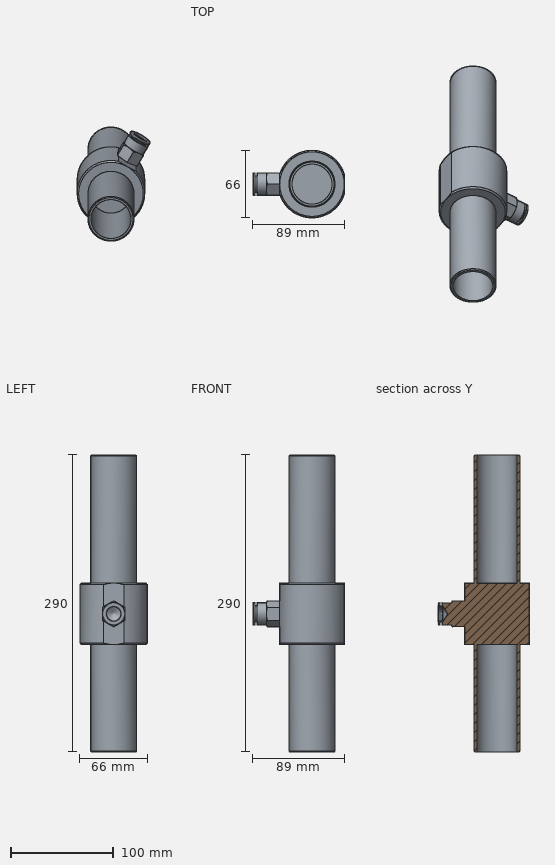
import cadquery as cq
import math

pipe_length = 290.0
pipe_diameter = 45.0
pipe_bore_diameter = 39.0
pipe_end_chamfer = 1.0

collar_diameter = 66.0
collar_height = 60.0
collar_base_z = 105.0
collar_chamfer = 1.5
flat_distance = 31.5
collar_mid_z = collar_base_z + collar_height / 2
collar_top_z = collar_base_z + collar_height

hex_across_flats = 22.0
hex_length = 13.0
hex_chamfer_angle = 30.0
sleeve_diameter = 22.0
sleeve_length = 9.0
groove_diameter = 16.0
groove_width = 2.0
rim_diameter = 22.0
rim_width = 2.0
mouth_edge_radius = 0.5
connector_length = hex_length + sleeve_length + groove_width + rim_width

connector_bore_diameter = 14.0
connector_bore_depth = 5.0
drill_point_angle = 118.0


def make_pipe():
    pipe = cq.Workplane("XY").circle(pipe_diameter / 2).extrude(pipe_length)
    return pipe.faces("<Z or >Z").chamfer(pipe_end_chamfer)


def make_collar():
    collar = (
        cq.Workplane("XY")
        .workplane(offset=collar_base_z)
        .circle(collar_diameter / 2)
        .extrude(collar_height)
        .faces("<Z or >Z")
        .chamfer(collar_chamfer)
    )
    flats_envelope = (
        cq.Workplane("XY")
        .workplane(offset=collar_base_z)
        .rect(2 * flat_distance, collar_diameter)
        .extrude(collar_height)
    )
    return collar.intersect(flats_envelope)


def make_pipe_bore(base_z, length):
    return cq.Workplane("XY").workplane(offset=base_z).circle(pipe_bore_diameter / 2).extrude(length)


def connector_plane(distance):
    """Plane facing -X, the given distance outward from the collar flat."""
    origin = (-flat_distance - distance, 0, collar_mid_z)
    return cq.Workplane(cq.Plane(origin=origin, xDir=(0, 0, 1), normal=(-1, 0, 0)))


def make_hex():
    """Hexagon with corners up and down, its outer corners turned off by a cone."""
    hex_across_corners = hex_across_flats / math.cos(math.pi / 6)
    corner_height = (hex_across_corners - hex_across_flats) / 2
    chamfer_length = corner_height * math.tan(math.radians(hex_chamfer_angle))
    turned_envelope = (
        connector_plane(0)
        .circle(hex_across_corners / 2)
        .extrude(hex_length)
        .faces("<X")
        .chamfer(chamfer_length, corner_height)
    )
    hexagon = connector_plane(0).polygon(6, hex_across_corners).extrude(hex_length)
    return hexagon.intersect(turned_envelope)


def make_connector_body():
    connector = make_hex()
    start = hex_length
    for diameter, length in (
        (sleeve_diameter, sleeve_length),
        (groove_diameter, groove_width),
        (rim_diameter, rim_width),
    ):
        connector = connector.union(connector_plane(start).circle(diameter / 2).extrude(length))
        start += length
    return connector


def make_connector_bore():
    radius = connector_bore_diameter / 2
    point_length = radius / math.tan(math.radians(drill_point_angle / 2))
    mouth_x = -flat_distance - connector_length
    bottom_x = mouth_x + connector_bore_depth
    profile = (
        cq.Workplane("XZ", origin=(0, 0, collar_mid_z))
        .moveTo(mouth_x, 0)
        .lineTo(mouth_x, radius)
        .lineTo(bottom_x, radius)
        .lineTo(bottom_x + point_length, 0)
        .close()
    )
    return profile.revolve(360, (0, 0, 0), (1, 0, 0))


def make_connector():
    """Connector with its blind bore; both edges of the mouth ring are rounded."""
    connector = make_connector_body().cut(make_connector_bore())
    return connector.faces("<X").edges().fillet(mouth_edge_radius)


result = (
    make_pipe()
    .union(make_collar())
    .union(make_connector())
    .cut(make_pipe_bore(0, collar_base_z))
    .cut(make_pipe_bore(collar_top_z, pipe_length - collar_top_z))
)